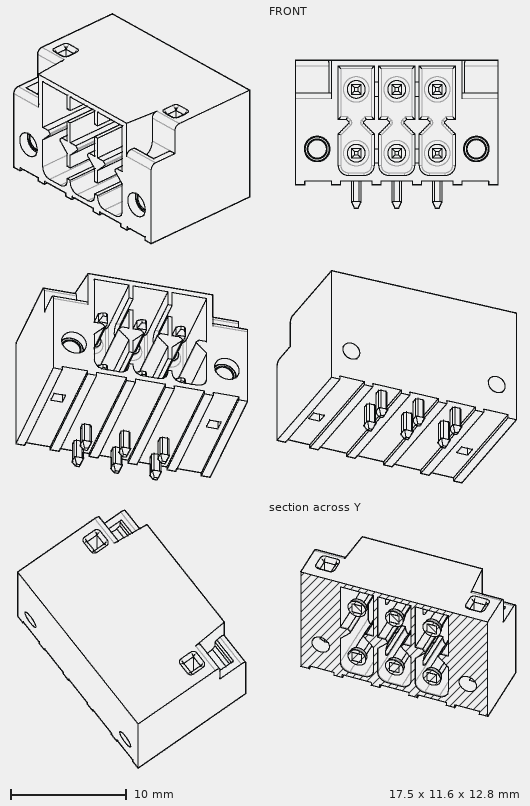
import cadquery as cq
import math


WIDTH = 17.5
DEPTH = 11.6
HEIGHT = 10.76

PITCH = 3.5
COLUMN_X = (-PITCH, 0.0, PITCH)
UPPER_ROW_Z = HEIGHT - 2.52
LOWER_ROW_Z = UPPER_ROW_Z - 5.51

CHAMBER_DEPTH = 6.48
CHAMBER_FLOOR_FILLET = 0.23
CHAMBER_HALF_WIDTH = 1.55
CHAMBER_TOP = HEIGHT - 0.5
CHAMBER_BOTTOM = 0.8
CHAMBER_CORNER_RADIUS = 0.88
KEY_LEDGE_Z = HEIGHT - 5.11
KEY_LEDGE_HALF_GAP = 0.85
KEY_TIP_Z = KEY_LEDGE_Z - 0.28
KEY_TIP_HALF_GAP = 0.58
KEY_TIP_RADIUS = 0.09

COLLAR_RADIUS = 0.77
COLLAR_HEIGHT = 0.52
COLLAR_FILLET = 0.33

SLOT_HEIGHT = 1.25
SLOT_DEPTH = 4.55
UPPER_SLOT_Z = HEIGHT - 2.5
LOWER_SLOT_Z = HEIGHT - 8.28

STEP_DEPTH = 2.8
STEP_HEIGHT = 2.82
STEP_EDGE_RADIUS = 0.5
STEP_FRONT_X = 5.62
STEP_DRAFT = 5.0

POCKET_SIDE_WALL = 0.63
POCKET_RADIUS = 1.42
POCKET_RAMP = 0.32
POCKET_RIM_CHAMFER = 0.2

SQUARE_HOLE_SIDE = 1.03
SQUARE_HOLE_X = 7.0
SQUARE_HOLE_Y = 4.5
SQUARE_HOLE_FLARE = 0.37

FOOT_WIDTH = 0.8
FOOT_HEIGHT = 0.32

SCREW_X = 6.88
SCREW_Z = 3.1
SCREW_HOLE_DIAMETER = 2.2
BORE_DIAMETER = 1.6
BUSHING_RECESS = 0.84
BUSHING_LENGTH = 2.1
BUSHING_CHAMFER = 0.07

PIN_SIDE = 0.84
PIN_TIP_SIDE = 0.33
PIN_TIP_LENGTH = 0.58
PIN_FRONT_Y = 2.1
PIN_BOTTOM_Z = -2.03
TAIL_CHAMFER = 0.18
UPPER_TAIL_Y = DEPTH - 1.15
LOWER_TAIL_Y = UPPER_TAIL_Y - 2.48
ROWS = ((UPPER_ROW_Z, UPPER_TAIL_Y), (LOWER_ROW_Z, LOWER_TAIL_Y))


def box(x0, x1, y0, y1, z0, z1):
    """Box between two opposite corners."""
    return cq.Workplane("XY").box(x1 - x0, y1 - y0, z1 - z0, centered=False).translate((x0, y0, z0))


def facing_back(y):
    """XZ workplane at the given Y whose extrusions run toward +Y when their length is negative."""
    return cq.Workplane("XZ", origin=(0, y, 0))


def both_sides(feature):
    """The feature together with its mirror image across the YZ plane."""
    return feature.union(feature.mirror("YZ"))


def chamber(column_x):
    """Keyed chamber with two pinched-in noses and a fillet around its floor."""
    half, arc = CHAMBER_HALF_WIDTH, CHAMBER_CORNER_RADIUS
    arc_inset = arc * (1 - math.sqrt(0.5))
    key_bottom_z = KEY_TIP_Z - (half - KEY_TIP_HALF_GAP)
    outline = (
        cq.Workplane("XZ", origin=(column_x, 0, 0))
        .moveTo(-half, CHAMBER_TOP)
        .lineTo(half, CHAMBER_TOP)
        .lineTo(half, KEY_LEDGE_Z)
        .lineTo(KEY_LEDGE_HALF_GAP, KEY_LEDGE_Z)
        .lineTo(KEY_TIP_HALF_GAP, KEY_TIP_Z)
        .lineTo(half, key_bottom_z)
        .lineTo(half, CHAMBER_BOTTOM + arc)
        .threePointArc((half - arc_inset, CHAMBER_BOTTOM + arc_inset), (half - arc, CHAMBER_BOTTOM))
        .lineTo(arc - half, CHAMBER_BOTTOM)
        .threePointArc((arc_inset - half, CHAMBER_BOTTOM + arc_inset), (-half, CHAMBER_BOTTOM + arc))
        .lineTo(-half, key_bottom_z)
        .lineTo(-KEY_TIP_HALF_GAP, KEY_TIP_Z)
        .lineTo(-KEY_LEDGE_HALF_GAP, KEY_LEDGE_Z)
        .lineTo(-half, KEY_LEDGE_Z)
        .close()
    )
    prism = outline.extrude(-CHAMBER_DEPTH)
    for tip_x in (column_x - KEY_TIP_HALF_GAP, column_x + KEY_TIP_HALF_GAP):
        tip_edge = cq.selectors.NearestToPointSelector((tip_x, CHAMBER_DEPTH / 2, KEY_TIP_Z))
        prism = prism.edges(tip_edge).fillet(KEY_TIP_RADIUS)
    return prism.faces(">Y").edges().fillet(CHAMBER_FLOOR_FILLET)


def collar(column_x, row_z):
    """Round collar on the chamber floor, flared by a fillet at its foot."""
    foot_radius = COLLAR_RADIUS + COLLAR_FILLET
    arc_offset = COLLAR_FILLET * (1 - math.sqrt(0.5))
    profile = (
        cq.Workplane("XY")
        .lineTo(foot_radius, 0)
        .threePointArc((COLLAR_RADIUS + arc_offset, -arc_offset), (COLLAR_RADIUS, -COLLAR_FILLET))
        .lineTo(COLLAR_RADIUS, -COLLAR_HEIGHT)
        .lineTo(0, -COLLAR_HEIGHT)
        .close()
    )
    return profile.revolve(360, (0, 0, 0), (0, 1, 0)).translate((column_x, CHAMBER_DEPTH, row_z))


def rib_slot(rib_x, slot_z):
    """Slot through a rib, open at the front and rounded at its inner end."""
    rib_thickness = PITCH - 2 * CHAMBER_HALF_WIDTH
    radius = SLOT_HEIGHT / 2
    arc_start_y = SLOT_DEPTH - radius
    profile = (
        cq.Workplane("YZ", origin=(rib_x - rib_thickness / 2, 0, slot_z))
        .moveTo(0, -radius)
        .lineTo(arc_start_y, -radius)
        .threePointArc((SLOT_DEPTH, 0), (arc_start_y, radius))
        .lineTo(0, radius)
        .close()
    )
    return profile.extrude(rib_thickness)


def beside_step_wall():
    """Space outside the drafted wall that flanks the chambers, on the +X side."""
    back_y = STEP_DEPTH + STEP_EDGE_RADIUS
    back_x = STEP_FRONT_X + back_y * math.tan(math.radians(STEP_DRAFT))
    return (
        cq.Workplane("XY")
        .polyline([(STEP_FRONT_X, 0), (WIDTH / 2, 0), (WIDTH / 2, back_y), (back_x, back_y)])
        .close()
        .extrude(HEIGHT)
    )


def step_cut():
    """Front corner removed above a flange, with both of its outer edges rounded over."""
    radius = STEP_EDGE_RADIUS
    arc_inset = radius * (1 - math.sqrt(0.5))
    shelf_z = HEIGHT - STEP_HEIGHT
    profile = (
        cq.Workplane("YZ")
        .moveTo(0, HEIGHT)
        .lineTo(0, shelf_z - radius)
        .threePointArc((arc_inset, shelf_z - arc_inset), (radius, shelf_z))
        .lineTo(STEP_DEPTH, shelf_z)
        .lineTo(STEP_DEPTH, HEIGHT - radius)
        .threePointArc((STEP_DEPTH + arc_inset, HEIGHT - arc_inset), (STEP_DEPTH + radius, HEIGHT))
        .close()
    )
    return profile.extrude(WIDTH / 2).intersect(beside_step_wall())


def pocket_cut():
    """Pocket below the step: a quarter-round back, then a ramp up to the front wall and a chamfered rim."""
    shelf_z = HEIGHT - STEP_HEIGHT
    floor_y = STEP_DEPTH - POCKET_RADIUS
    front_y = floor_y - POCKET_RAMP
    floor_z = shelf_z - POCKET_RADIUS
    arc_reach = POCKET_RADIUS * math.sqrt(0.5)
    profile = (
        cq.Workplane("YZ")
        .moveTo(STEP_DEPTH, shelf_z)
        .threePointArc((floor_y + arc_reach, shelf_z - arc_reach), (floor_y, floor_z))
        .lineTo(front_y, floor_z + POCKET_RAMP)
        .lineTo(front_y, shelf_z - POCKET_RIM_CHAMFER)
        .lineTo(front_y - POCKET_RIM_CHAMFER, shelf_z)
        .close()
    )
    return profile.extrude(WIDTH / 2 - POCKET_SIDE_WALL).intersect(beside_step_wall())


def square_hole():
    """Vertical square hole with a flared, round-cornered mouth at the top."""
    centre = (SQUARE_HOLE_X, SQUARE_HOLE_Y)
    shaft = cq.Workplane("XY").center(*centre).rect(SQUARE_HOLE_SIDE, SQUARE_HOLE_SIDE).extrude(HEIGHT)
    mouth = (
        cq.Workplane("XY", origin=(*centre, HEIGHT - SQUARE_HOLE_FLARE))
        .rect(SQUARE_HOLE_SIDE, SQUARE_HOLE_SIDE)
        .extrude(SQUARE_HOLE_FLARE, taper=-45)
    )
    return shaft.union(mouth)


def foot_gaps():
    """Shallow channels along Y that leave the feet standing between and beside the columns."""
    gap_half = (PITCH - FOOT_WIDTH) / 2
    flange_gap_start = COLUMN_X[-1] + gap_half + FOOT_WIDTH
    gaps = both_sides(box(flange_gap_start, WIDTH / 2 - FOOT_WIDTH, 0, DEPTH, 0, FOOT_HEIGHT))
    for column_x in COLUMN_X:
        gaps = gaps.union(box(column_x - gap_half, column_x + gap_half, 0, DEPTH, 0, FOOT_HEIGHT))
    return gaps


def screw_hole():
    """Wide seat for the bushing, continued to the back by its bore."""
    seat_depth = BUSHING_RECESS + BUSHING_LENGTH
    seat = facing_back(0).center(SCREW_X, SCREW_Z).circle(SCREW_HOLE_DIAMETER / 2).extrude(-seat_depth)
    bore = facing_back(0).center(SCREW_X, SCREW_Z).circle(BORE_DIAMETER / 2).extrude(-DEPTH)
    return seat.union(bore)


def make_bushing(screw_x):
    """Bushing in a screw hole, chamfered on its front edges."""
    return (
        facing_back(BUSHING_RECESS)
        .center(screw_x, SCREW_Z)
        .circle(SCREW_HOLE_DIAMETER / 2)
        .circle(BORE_DIAMETER / 2)
        .extrude(-BUSHING_LENGTH)
        .faces("<Y")
        .chamfer(BUSHING_CHAMFER)
    )


def tapered_tip(workplane):
    """Square tip that narrows from the full pin section, along the workplane's normal."""
    return (
        workplane.rect(PIN_SIDE, PIN_SIDE)
        .workplane(offset=PIN_TIP_LENGTH)
        .rect(PIN_TIP_SIDE, PIN_TIP_SIDE)
        .loft(ruled=True)
    )


def make_pin(column_x, row_z, tail_y):
    """Angled pin: a square contact pointing to the front and a chamfered tail pointing down."""
    half = PIN_SIDE / 2
    contact_y = PIN_FRONT_Y + PIN_TIP_LENGTH
    tail_z = PIN_BOTTOM_Z + PIN_TIP_LENGTH
    contact = box(column_x - half, column_x + half, contact_y, tail_y + half, row_z - half, row_z + half)
    tail = box(column_x - half, column_x + half, tail_y - half, tail_y + half, tail_z, row_z)
    tail = tail.edges("|Z").chamfer(TAIL_CHAMFER)
    contact_tip = tapered_tip(cq.Workplane("XZ", origin=(column_x, contact_y, row_z)))
    tail_tip = tapered_tip(cq.Workplane("XY", origin=(column_x, tail_y, tail_z)).transformed((180, 0, 0)))
    return contact.union(tail).union(contact_tip).union(tail_tip)


def make_housing(pins):
    """Header housing with its chambers, flanges, feet, screw holes and fitted pin channels."""
    body = box(-WIDTH / 2, WIDTH / 2, 0, DEPTH, 0, HEIGHT)
    for column_x in COLUMN_X:
        body = body.cut(chamber(column_x))
        for row_z, _ in ROWS:
            body = body.union(collar(column_x, row_z))
    for rib_x in (-PITCH / 2, PITCH / 2):
        for slot_z in (UPPER_SLOT_Z, LOWER_SLOT_Z):
            body = body.cut(rib_slot(rib_x, slot_z))
    for flange_cut in (step_cut(), pocket_cut(), square_hole(), screw_hole()):
        body = body.cut(both_sides(flange_cut))
    body = body.cut(foot_gaps())
    for pin in pins:
        body = body.cut(pin)
    return body


pins = [make_pin(column_x, row_z, tail_y) for column_x in COLUMN_X for row_z, tail_y in ROWS]
bushings = [make_bushing(screw_x) for screw_x in (-SCREW_X, SCREW_X)]
housing = make_housing(pins)

result = cq.Compound.makeCompound(
    [housing.val(), *[pin.val() for pin in pins], *[bushing.val() for bushing in bushings]]
)